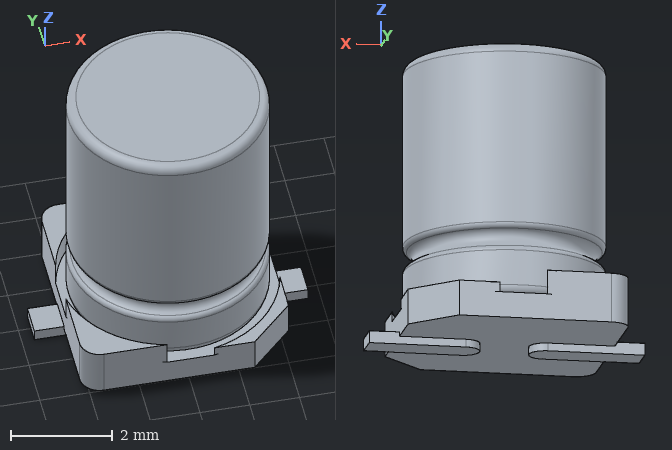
import cadquery as cq
import math

can_radius = 2.0
can_top = 5.8
can_bottom = 0.665
can_edge_radius = 0.2

groove_mid = 1.855
groove_half_height = 0.285
groove_floor_radius = 1.805
groove_lip_radius = 0.115

base_side = 4.3
base_bottom = 0.155
tall_wall_top = 1.15
low_wall_top = 0.865
pocket_diameter = 4.4
corner_radius = 0.4
corner_chamfer = 0.865

lead_span = 5.5
lead_gap = 0.985
lead_width = 0.65
lead_height = 0.245


def make_can():
    """Solid of revolution with a round-bottomed crimp groove and rounded lips."""
    lip_r = can_radius - groove_lip_radius
    reach = groove_floor_radius - groove_lip_radius
    groove_center_r = (groove_half_height**2 + lip_r**2 - reach**2) / (2 * (lip_r - reach))
    angle = math.atan2(groove_half_height, groove_center_r - lip_r)
    join_r = lip_r + groove_lip_radius * math.cos(angle)
    join_dz = groove_half_height - groove_lip_radius * math.sin(angle)
    lip_mid_r = lip_r + groove_lip_radius * math.cos(angle / 2)
    lip_mid_dz = groove_half_height - groove_lip_radius * math.sin(angle / 2)

    profile = (
        cq.Workplane("XZ")
        .moveTo(0, can_bottom)
        .lineTo(can_radius, can_bottom)
        .lineTo(can_radius, groove_mid - groove_half_height)
        .threePointArc((lip_mid_r, groove_mid - lip_mid_dz), (join_r, groove_mid - join_dz))
        .threePointArc((groove_floor_radius, groove_mid), (join_r, groove_mid + join_dz))
        .threePointArc((lip_mid_r, groove_mid + lip_mid_dz), (can_radius, groove_mid + groove_half_height))
        .lineTo(can_radius, can_top)
        .lineTo(0, can_top)
        .close()
    )
    can = profile.revolve(360, (0, 0, 0), (0, 1, 0))
    return can.faces("<Z or >Z").edges().fillet(can_edge_radius)


def make_base():
    """Square tray with a round pocket, tall walls on -X and low walls on +X."""
    base = (
        cq.Workplane("XY", origin=(0, 0, base_bottom))
        .rect(base_side, base_side)
        .extrude(tall_wall_top - base_bottom)
    )
    base = base.edges("|Z and <X").fillet(corner_radius)
    base = base.edges("|Z and >X").chamfer(corner_chamfer)
    lowered_side = (
        cq.Workplane("XY", origin=(0, 0, low_wall_top))
        .rect(base_side, base_side)
        .extrude(tall_wall_top - low_wall_top)
        .translate((base_side / 2, 0, 0))
    )
    pocket = (
        cq.Workplane("XY", origin=(0, 0, can_bottom))
        .circle(pocket_diameter / 2)
        .extrude(tall_wall_top - can_bottom)
    )
    return base.cut(lowered_side).cut(pocket)


def make_lead(side):
    """Flat strip with a round inner end; side is -1 for -X and +1 for +X."""
    outer = side * lead_span / 2
    inner = side * lead_gap / 2
    half_width = lead_width / 2
    round_start = inner + side * half_width
    return (
        cq.Workplane("XY")
        .moveTo(outer, -half_width)
        .lineTo(round_start, -half_width)
        .threePointArc((inner, 0), (round_start, half_width))
        .lineTo(outer, half_width)
        .close()
        .extrude(lead_height)
    )


result = make_base().union(make_can())
for lead_side in (-1, 1):
    result = result.union(make_lead(lead_side))